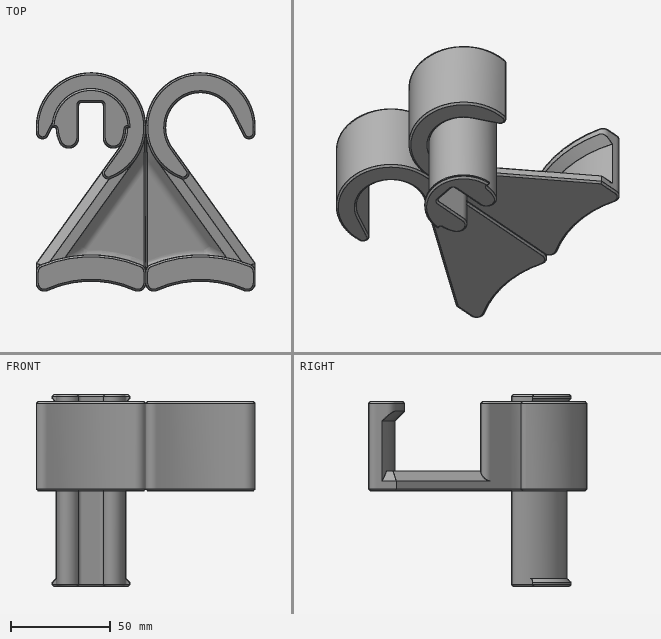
import cadquery as cq
import math

ring_radius = 27.5
bore_radius = 17.5
clip_height = 45.0
clip_half_width = ring_radius
edge_chamfer = 1.0
tip_radius = 3.0
free_end_angle = 27.0

rim_height = 10.0
floor_height = rim_height / 2
rim_bevel = rim_height - floor_height
pocket_fillet = 5.0
plate_corner_y = -68.3
pocket_start_angle = 150.0
ring_contact_zone = 1.1
plate_overlap = 1.1
pocket_overrun = 11.0

pad_center_y = -130.0
pad_front_radius = 52.8
pad_wall_radius = 61.2
lip_radius = 66.0
pad_corner_radius = 4.1
lip_bottom = 40.0
lip_slope = lip_radius - pad_wall_radius

insert_radius = bore_radius
insert_top = 48.5
insert_height = 96.6
slot_half_width = 6.2
slot_end_y = 12.6
slot_corner_radius = 1.6
leg_tip_radius = 5.1
flange_radius = 19.6
flange_height = 4.1
flange_corner_radius = 0.9

selection_margin = 0.1


def polar(radius, angle, center=(0.0, 0.0)):
    """Point at a radius and an angle in degrees around a centre."""
    turn = math.radians(angle)
    return (center[0] + radius * math.cos(turn), center[1] + radius * math.sin(turn))


ring_center = (clip_half_width, 0.0)
pad_center = (clip_half_width, pad_center_y)
plate_corner = (2 * clip_half_width, plate_corner_y)

corner_dx = plate_corner[0] - ring_center[0]
corner_dy = plate_corner[1] - ring_center[1]
corner_distance = math.hypot(corner_dx, corner_dy)
corner_angle = math.degrees(math.atan2(corner_dy, corner_dx))
side_angle = corner_angle - math.degrees(math.acos(bore_radius / corner_distance))
side_tangent = polar(bore_radius, side_angle, ring_center)


def pad_arc_point(radius, x):
    """Point at a given x on a pad arc of the given radius."""
    return (x, pad_center_y + math.sqrt(radius**2 - (x - clip_half_width) ** 2))


def hook():
    """C-shaped hook; both ends run off tangent to the bore and are rounded."""
    tip_distance = ring_radius - tip_radius
    tip_turn = math.degrees(math.acos((bore_radius + tip_radius) / tip_distance))

    def end_points(angle, direction):
        """Bore tangent, tip start, tip middle and tip end of one hook end."""
        tip_angle = angle + direction * tip_turn
        tip_center = polar(tip_distance, tip_angle, ring_center)
        return (
            polar(bore_radius, angle, ring_center),
            polar(tip_radius, angle + 180, tip_center),
            polar(tip_radius, angle + direction * (180 + tip_turn) / 2, tip_center),
            polar(ring_radius, tip_angle, ring_center),
        )

    side_bore, side_start, side_middle, side_end = end_points(side_angle, 1)
    free_bore, free_start, free_middle, free_end = end_points(free_end_angle, -1)
    back_angle = (side_angle % 360 + free_end_angle) / 2
    return (
        cq.Workplane("XY")
        .moveTo(*side_bore)
        .lineTo(*side_start)
        .threePointArc(side_middle, side_end)
        .threePointArc(polar(ring_radius, back_angle, ring_center), free_end)
        .threePointArc(free_middle, free_start)
        .lineTo(*free_bore)
        .threePointArc(polar(bore_radius, back_angle, ring_center), side_bore)
        .close()
        .extrude(clip_height)
        .faces(">Z")
        .edges()
        .chamfer(edge_chamfer)
    )


def pad():
    """Curved pad with a lip along its top back edge."""
    outer_x = 2 * clip_half_width
    block = (
        cq.Workplane("XY")
        .moveTo(*pad_arc_point(pad_front_radius, 0))
        .threePointArc(
            pad_arc_point(pad_front_radius, clip_half_width),
            pad_arc_point(pad_front_radius, outer_x),
        )
        .lineTo(*pad_arc_point(lip_radius, outer_x))
        .threePointArc(
            pad_arc_point(lip_radius, clip_half_width),
            pad_arc_point(lip_radius, 0),
        )
        .close()
        .extrude(clip_height)
        .edges("|Z")
        .fillet(pad_corner_radius)
        .faces(">Z")
        .edges()
        .chamfer(edge_chamfer)
    )
    undercut = (
        cq.Workplane("XZ")
        .polyline([
            (pad_wall_radius, 0),
            (pad_wall_radius, lip_bottom - lip_slope),
            (pad_wall_radius + 2 * lip_slope, lip_bottom + lip_slope),
            (pad_wall_radius + 2 * lip_slope, 0),
        ])
        .close()
        .revolve(360, (0, 0, 0), (0, 1, 0))
        .translate((*pad_center, 0))
    )
    return block.cut(undercut)


def plate():
    """Base plate, bevelled along its sloping side and its short straight side."""
    hidden_end_radius = pad_wall_radius - plate_overlap
    outer_x = 2 * clip_half_width
    outline = (
        cq.Workplane("XY")
        .moveTo(0, 0)
        .lineTo(*side_tangent)
        .lineTo(*plate_corner)
        .lineTo(*pad_arc_point(hidden_end_radius, outer_x))
        .threePointArc(
            pad_arc_point(hidden_end_radius, clip_half_width),
            pad_arc_point(hidden_end_radius, 0),
        )
        .close()
    )
    slab = outline.extrude(rim_height)
    side_middle = (
        (side_tangent[0] + plate_corner[0]) / 2,
        (side_tangent[1] + plate_corner[1]) / 2,
    )
    sloping_edge = cq.selectors.NearestToPointSelector((*side_middle, rim_height))
    straight_edge = cq.selectors.NearestToPointSelector(
        (outer_x, plate_corner_y - rim_bevel, rim_height)
    )
    return slab.edges(sloping_edge + straight_edge).chamfer(rim_bevel)


def pocket():
    """Tool for the pocket: 45 degree walls, rounded floor edge, open past the inner side."""
    rim_start = polar(ring_radius, side_angle, ring_center)
    along_rim = polar(1, side_angle + 90)
    start_dx = rim_start[0] - pad_center[0]
    start_dy = rim_start[1] - pad_center[1]
    start_along = start_dx * along_rim[0] + start_dy * along_rim[1]
    start_across = start_dx * along_rim[1] - start_dy * along_rim[0]
    rim_length = -start_along - math.sqrt(pad_wall_radius**2 - start_across**2)
    rim_end = (
        rim_start[0] + rim_length * along_rim[0],
        rim_start[1] + rim_length * along_rim[1],
    )
    arc_start = polar(ring_radius, pocket_start_angle, ring_center)
    tool = (
        cq.Workplane("XY", origin=(0, 0, rim_height))
        .moveTo(*arc_start)
        .threePointArc(polar(ring_radius, 180, ring_center), rim_start)
        .lineTo(*rim_end)
        .threePointArc(
            pad_arc_point(pad_wall_radius, clip_half_width / 2),
            pad_arc_point(pad_wall_radius, -pocket_overrun),
        )
        .lineTo(-pocket_overrun, arc_start[1])
        .close()
        .extrude(-rim_bevel, taper=45)
    )
    inside_clip = cq.selectors.BoxSelector(
        (0, pad_center_y, 0), (2 * clip_half_width, -selection_margin, rim_height)
    )
    rim_corner = cq.selectors.NearestToPointSelector((*rim_end, rim_height))
    floor_edges = tool.faces("<Z").edges(inside_clip)
    return floor_edges.add(tool.edges(rim_corner)).fillet(pocket_fillet)


def clip(side):
    """One clip in one piece: hook, pad and pocketed plate; side is +1 (+X) or -1 (-X)."""
    body = hook().union(pad()).union(plate()).cut(pocket())
    body = body.faces("<Z").edges().chamfer(edge_chamfer)
    pad_wall_back_y = pad_center_y + pad_wall_radius
    pocket_rim = cq.selectors.BoxSelector(
        (-selection_margin, pad_wall_back_y - rim_height, floor_height - selection_margin),
        (selection_margin, -ring_contact_zone, rim_height),
    )
    body = body.faces("<X").edges(pocket_rim).chamfer(edge_chamfer)
    return body if side > 0 else body.mirror("YZ")


def flange_blank():
    """Round collar at the insert's top, tapered down to the bar, kept only on the +Y half."""
    overhang = flange_radius - insert_radius
    flange_base = insert_top - flange_height
    profile = [
        (0, insert_top),
        (flange_radius, insert_top),
        (flange_radius, flange_base + overhang),
        (insert_radius, flange_base),
        (0, flange_base),
    ]
    collar = cq.Workplane("XZ").polyline(profile).close().revolve(360, (0, 0, 0), (0, 1, 0))
    bar_blank = cq.Workplane("XY").circle(insert_radius).extrude(insert_top)
    back_half = (
        cq.Workplane("XY")
        .rect(4 * insert_radius, 2 * insert_radius)
        .extrude(insert_top)
        .translate((0, insert_radius, 0))
    )
    corners = cq.selectors.BoxSelector(
        (-insert_radius - selection_margin, -selection_margin, 0),
        (insert_radius + selection_margin, selection_margin, insert_top),
    )
    plan = bar_blank.union(back_half).edges("|Z").edges(corners).fillet(flange_corner_radius)
    return collar.intersect(plan)


def insert():
    """U-shaped bar that fills the bore of the left clip, with a flange at each end."""
    bottom = insert_top - insert_height
    middle = insert_top - insert_height / 2
    leg_x = slot_half_width + leg_tip_radius
    leg_distance = insert_radius - leg_tip_radius
    leg_y = -math.sqrt(leg_distance**2 - leg_x**2)
    leg_angle = math.degrees(math.atan2(leg_y, leg_x))
    tip_end = polar(insert_radius, leg_angle)
    tip_middle = polar(leg_tip_radius, (leg_angle - 180) / 2, (leg_x, leg_y))

    slot = (
        cq.Workplane("XY", origin=(0, 0, bottom))
        .moveTo(-slot_half_width, slot_end_y)
        .lineTo(slot_half_width, slot_end_y)
        .lineTo(slot_half_width, leg_y)
        .threePointArc(tip_middle, tip_end)
        .lineTo(tip_end[0], -flange_radius)
        .lineTo(-tip_end[0], -flange_radius)
        .lineTo(-tip_end[0], tip_end[1])
        .threePointArc((-tip_middle[0], tip_middle[1]), (-slot_half_width, leg_y))
        .close()
        .extrude(insert_height)
        .edges("|Z and >Y")
        .fillet(slot_corner_radius)
    )
    top_flange = flange_blank()
    bar = (
        cq.Workplane("XY", origin=(0, 0, bottom))
        .circle(insert_radius)
        .extrude(insert_height)
        .union(top_flange)
        .union(top_flange.mirror("XY", (0, 0, middle)))
        .cut(slot)
    )
    bar = bar.faces("<Z or >Z").edges().chamfer(edge_chamfer)
    return bar.translate((-clip_half_width, 0, 0))


clips = [clip(side) for side in (1, -1)]
slotted_insert = insert()
result = cq.Compound.makeCompound([*(body.val() for body in clips), slotted_insert.val()])